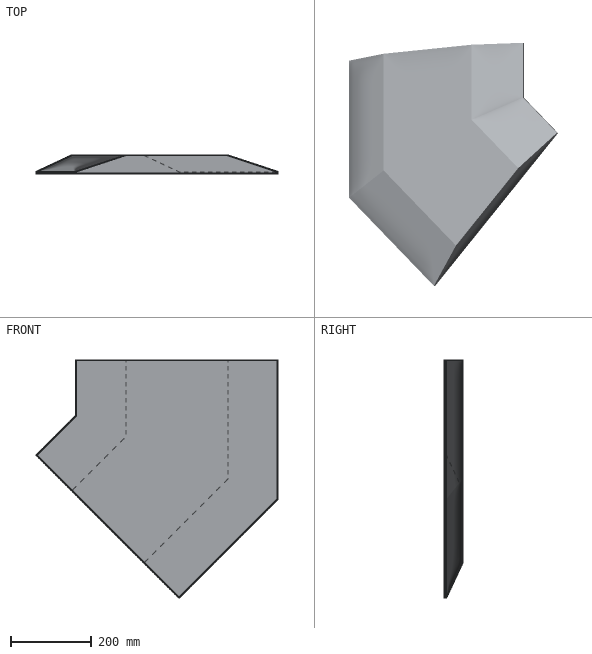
import cadquery as cq
import math

BASE_WIDTH = 502.0
CREST_WIDTH = 254
DEPTH = 46.0
RIM_DEPTH = 5.0

BEND_ANGLE = 45.0
INNER_LEG = 138.43

MITRE_ANGLE = math.radians(BEND_ANGLE / 2)
MITRE_DROP = BASE_WIDTH * math.tan(MITRE_ANGLE)
OUTER_LEG = INNER_LEG + MITRE_DROP


def section():
    """Trapezoid with a straight rim, drawn in XY with the inner corner at the origin."""
    slope_width = (BASE_WIDTH - CREST_WIDTH) / 2
    return cq.Workplane("XY").polyline([
        (0, 0),
        (BASE_WIDTH, 0),
        (BASE_WIDTH, RIM_DEPTH),
        (BASE_WIDTH - slope_width, DEPTH),
        (slope_width, DEPTH),
        (0, RIM_DEPTH),
    ]).close()


def mitre_keep():
    """Block covering everything above the mitre plane of the upright leg."""
    return (
        cq.Workplane("XZ")
        .polyline([(0, 0), (BASE_WIDTH, -MITRE_DROP), (BASE_WIDTH, INNER_LEG), (0, INNER_LEG)])
        .close()
        .extrude(-DEPTH)
    )


def upright_leg():
    """Upright leg with a square top end and a mitred lower end."""
    bar = section().extrude(OUTER_LEG).translate((0, 0, INNER_LEG - OUTER_LEG))
    return bar.intersect(mitre_keep())


def slanted_leg(leg):
    """Copy of the upright leg reflected in the mitre plane."""
    mitre_normal = cq.Vector(math.sin(MITRE_ANGLE), 0, math.cos(MITRE_ANGLE))
    inner_corner = cq.Vector(0, 0, 0)
    return cq.Workplane(leg.val().mirror(mitre_normal, inner_corner))


upper = upright_leg()
result = upper.union(slanted_leg(upper), clean=False)